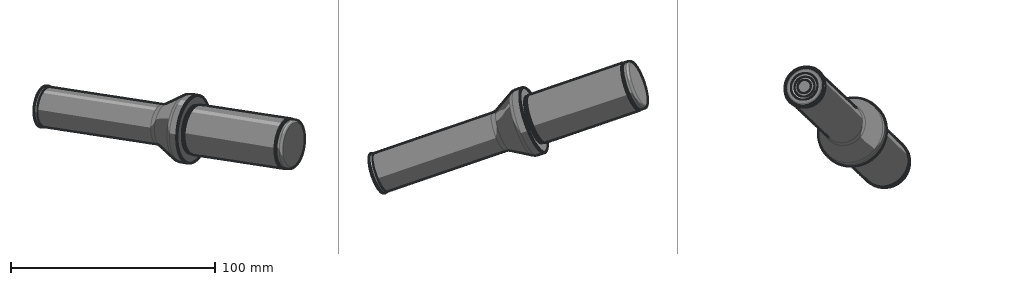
import cadquery as cq
import math

length = 141.0
split_x = 2.8

crown_radius = 6.8
shoulder_radius = 8.7
shoulder_x = 0.21
groove_radius = 5.1
groove_depth = 0.5
inner_crown_radius = 3.4
inner_crown_x = 0.1
center_depth = 0.5
corner_start_radius = 9.6
corner_start_x = 0.5
cutting_radius = 10.5
cutting_x = 1.34

nose_radius = 20.0 / 2
flange_radius = 34.0 / 2
flange_back_x = 85.0
flange_chamfer = 0.4
flare_start_x = 66.4
cone_start_x = 69.0
cone_start_radius = 10.7
cone_end_x = 79.1
cone_end_radius = 16.5
flange_rim_x = 80.8

shank_radius = 25.0 / 2
relief_radius = 12.1
relief_end_x = 85.9
shank_start_x = 86.7
shank_end_x = 137.2
rear_groove_x = 137.6
pilot_radius = 24.5 / 2
pilot_start_x = 138.0
rear_round = 1.3


def revolve_about_x(profile):
    """Turn a closed (axial position, radius) profile around the X axis."""
    return profile.close().revolve(360, (0, 0, 0), (1, 0, 0))


def make_tip():
    """Disc with an annular V groove, a dished centre and a rounded cutting corner."""
    corner_mid_x = cutting_x - (cutting_x - corner_start_x) * math.sin(math.pi / 4)
    corner_mid_radius = corner_start_radius + (cutting_radius - corner_start_radius) * math.sin(math.pi / 4)
    profile = (
        cq.Workplane("XY")
        .moveTo(center_depth, 0)
        .lineTo(inner_crown_x, inner_crown_radius)
        .lineTo(groove_depth, groove_radius)
        .lineTo(0, crown_radius)
        .lineTo(shoulder_x, shoulder_radius)
        .lineTo(corner_start_x, corner_start_radius)
        .threePointArc((corner_mid_x, corner_mid_radius), (cutting_x, cutting_radius))
        .lineTo(split_x, nose_radius)
        .lineTo(split_x, 0)
    )
    return revolve_about_x(profile)


def make_holder():
    """Nose, conical flange, shank and rear pilot turned as one piece."""
    cone_slope = (cone_end_radius - cone_start_radius) / (cone_end_x - cone_start_x)
    cone_direction = (1, cone_slope)
    axial = (1, 0)
    profile = (
        cq.Workplane("XY")
        .moveTo(split_x, 0)
        .lineTo(split_x, nose_radius)
        .lineTo(flare_start_x, nose_radius)
        .spline([(cone_start_x, cone_start_radius)], tangents=[axial, cone_direction], includeCurrent=True)
        .lineTo(cone_end_x, cone_end_radius)
        .spline([(flange_rim_x, flange_radius)], tangents=[cone_direction, axial], includeCurrent=True)
        .lineTo(flange_back_x - flange_chamfer, flange_radius)
        .lineTo(flange_back_x, flange_radius - flange_chamfer)
        .lineTo(flange_back_x, relief_radius)
        .lineTo(relief_end_x, relief_radius)
        .lineTo(shank_start_x, shank_radius)
        .lineTo(shank_end_x, shank_radius)
        .lineTo(rear_groove_x, relief_radius)
        .lineTo(pilot_start_x, pilot_radius)
        .lineTo(length - rear_round, pilot_radius)
        .radiusArc((length, pilot_radius - rear_round), rear_round)
        .lineTo(length, 0)
    )
    return revolve_about_x(profile)


tip = make_tip()
holder = make_holder()

result = cq.Compound.makeCompound([tip.val(), holder.val()])